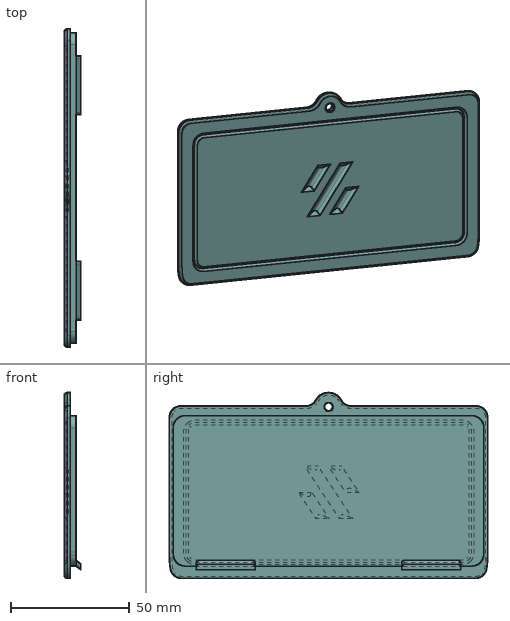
import cadquery as cq
import math


bevel_angle = 45

flange_width = 134.8
flange_height = 73.0
flange_thickness = 2.7
face_bevel = 0.6
side_bevel = 0.7
side_bevel_angle = 30
corner_radius = 5.0
side_curve_radius = 30.0
flange_curve_height = 5.0

eye_radius = 6.0
eye_rise = 5.7
eye_fillet = 4.7
eye_hole_diameter = 3.4
eye_hole_chamfer = 0.4

back_thickness = 2.4
back_width = 131.4
back_top_inset = 4.2
back_bottom_inset = 5.3
back_curve_height = 1.2

groove_inset = 5.9
groove_width = 2.0
groove_corner_radius = 5.0

pocket_height = 22.2
pocket_width = 5.7
pocket_lean = 14.7
pocket_pitch = 10.0
pocket_floor_radius = 1.3

hook_length = 25.0
hook_spacing = 87.0
hook_reach = 2.0
hook_drop = 1.6
hook_height = 2.4
hook_end_fillet = 1.1

flange_top = flange_height / 2
flange_bottom = -flange_height / 2
eye_center_z = flange_top + eye_rise - eye_radius
bevel_depth = face_bevel + side_bevel
back_face = flange_thickness + back_thickness
back_bottom = flange_bottom + back_bottom_inset


def plane_at(x):
    """Sketch plane facing +X whose local axes are Y and Z."""
    return cq.Workplane("YZ", origin=(x, 0, 0))


def rounded_plate(x, thickness, width, bottom, top, curve_height):
    """Rounded plate whose sides curve gently inward above the lower corners."""
    half_width = width / 2
    upper_shoulder = corner_radius * (1 - math.sqrt(0.5))

    side_angle = math.asin(curve_height / side_curve_radius)
    side_center_y = half_width - side_curve_radius
    corner_center_y = side_center_y + (side_curve_radius - corner_radius) * math.cos(side_angle)
    corner_center_z = bottom + corner_radius

    def on_corner(angle):
        return (
            corner_center_y + corner_radius * math.cos(angle),
            corner_center_z - corner_radius * math.sin(angle),
        )

    junction = on_corner(side_angle)
    corner_middle = on_corner((side_angle + math.pi / 2) / 2)
    curve_start = (half_width, junction[1] + curve_height)
    curve_middle = (
        side_center_y + side_curve_radius * math.cos(side_angle / 2),
        curve_start[1] - side_curve_radius * math.sin(side_angle / 2),
    )

    half = (
        plane_at(x)
        .moveTo(0, bottom)
        .lineTo(corner_center_y, bottom)
        .threePointArc(corner_middle, junction)
        .threePointArc(curve_middle, curve_start)
        .lineTo(half_width, top - corner_radius)
        .threePointArc(
            (half_width - upper_shoulder, top - upper_shoulder),
            (half_width - corner_radius, top),
        )
        .lineTo(0, top)
        .close()
        .extrude(thickness)
    )
    return half.union(half.mirror("XZ")).clean()


def hanging_eye():
    """Round eye blended into the top edge by a fillet on each side."""
    fillet_z = flange_top + eye_fillet
    foot_y = math.sqrt((eye_radius + eye_fillet) ** 2 - (fillet_z - eye_center_z) ** 2)
    share = eye_radius / (eye_radius + eye_fillet)
    touch = (foot_y * share, eye_center_z + (fillet_z - eye_center_z) * share)
    touch_angle = math.atan2(touch[1] - fillet_z, touch[0] - foot_y)
    middle_angle = (touch_angle - math.pi / 2) / 2
    middle = (
        foot_y + eye_fillet * math.cos(middle_angle),
        fillet_z + eye_fillet * math.sin(middle_angle),
    )
    root_z = flange_top - eye_radius
    return (
        plane_at(bevel_depth)
        .moveTo(-foot_y, root_z)
        .lineTo(foot_y, root_z)
        .lineTo(foot_y, flange_top)
        .threePointArc(middle, touch)
        .threePointArc((0, flange_top + eye_rise), (-touch[0], touch[1]))
        .threePointArc((-middle[0], middle[1]), (-foot_y, flange_top))
        .close()
        .extrude(flange_thickness - bevel_depth)
    )


def eye_hole():
    """Through hole in the eye, countersunk slightly at the outer face."""
    hole_radius = eye_hole_diameter / 2
    sketch = plane_at(0).center(0, eye_center_z)
    hole = sketch.circle(hole_radius).extrude(flange_thickness)
    countersink = sketch.circle(hole_radius + eye_hole_chamfer).extrude(eye_hole_chamfer, taper=bevel_angle)
    return hole.union(countersink)


def groove():
    """45 degree V-groove following a rounded rectangle."""
    depth = groove_width / 2

    def tapered_block(inset, taper):
        return (
            plane_at(0)
            .sketch()
            .rect(flange_width - 2 * inset, flange_height - 2 * inset)
            .vertices()
            .fillet(groove_corner_radius + groove_inset - inset)
            .finalize()
            .extrude(depth, taper=taper)
        )

    outer = tapered_block(groove_inset, bevel_angle)
    island = tapered_block(groove_inset + groove_width, -bevel_angle)
    return outer.cut(island)


def slanted_pocket(center_y, center_z, height):
    """Leaning trough with 45 degree walls, a rounded floor and sloping ends."""
    lean_length = math.hypot(pocket_height, pocket_lean)
    half_width = pocket_width / 2 * pocket_height / lean_length
    arc_half_width = pocket_floor_radius * math.sqrt(0.5)
    depth = half_width - pocket_floor_radius * (math.sqrt(2) - 1)
    center = cq.Vector(0, center_y, center_z)
    along = cq.Vector(0, -pocket_lean, pocket_height)
    trough = (
        cq.Workplane(cq.Plane(origin=center, xDir=(1, 0, 0), normal=along))
        .moveTo(0, -half_width)
        .lineTo(half_width - arc_half_width, -arc_half_width)
        .threePointArc((depth, 0), (half_width - arc_half_width, arc_half_width))
        .lineTo(0, half_width)
        .close()
        .extrude(lean_length, both=True)
    )
    ends = (
        cq.Workplane("XZ", origin=center)
        .moveTo(0, -height / 2)
        .lineTo(depth, depth - height / 2)
        .lineTo(depth, height / 2 - depth)
        .lineTo(0, height / 2)
        .close()
        .extrude(pocket_height, both=True)
    )
    return trough.intersect(ends)


def hook(center_y):
    """Slanting lip that leans down and away from the back, rounded at its upper ends."""
    lip = (
        cq.Workplane("XZ", origin=(0, center_y + hook_length / 2, 0))
        .polyline([
            (back_face, back_bottom),
            (back_face + hook_reach, back_bottom - hook_drop),
            (back_face + hook_reach, back_bottom - hook_drop + hook_height),
            (back_face, back_bottom + hook_height),
        ])
        .close()
        .extrude(hook_length)
    )
    upper_end_edges = lip.faces(">Z").edges("not |Y").edges(">Y or <Y")
    return upper_end_edges.fillet(hook_end_fillet)


def beveled_flange():
    """Flange with its eye, beveled in two steps up to the outer face."""
    flange = rounded_plate(
        bevel_depth,
        flange_thickness - bevel_depth,
        flange_width,
        flange_bottom,
        flange_top,
        flange_curve_height,
    ).union(hanging_eye()).clean()
    for depth, angle in ((side_bevel, side_bevel_angle), (face_bevel, bevel_angle)):
        flange = flange.faces("<X").wires().toPending().workplane().extrude(depth, taper=angle)
    return flange


back_panel = rounded_plate(
    flange_thickness,
    back_thickness,
    back_width,
    back_bottom,
    flange_top - back_top_inset,
    back_curve_height,
)
result = beveled_flange().union(back_panel)
result = result.cut(eye_hole()).cut(groove())

short_height = pocket_height / 2
short_y = pocket_pitch - pocket_lean / 4
result = result.cut(slanted_pocket(0, 0, pocket_height))
for side in (-1, 1):
    result = result.cut(slanted_pocket(side * short_y, side * short_height / 2, short_height))
    result = result.union(hook(side * hook_spacing / 2))